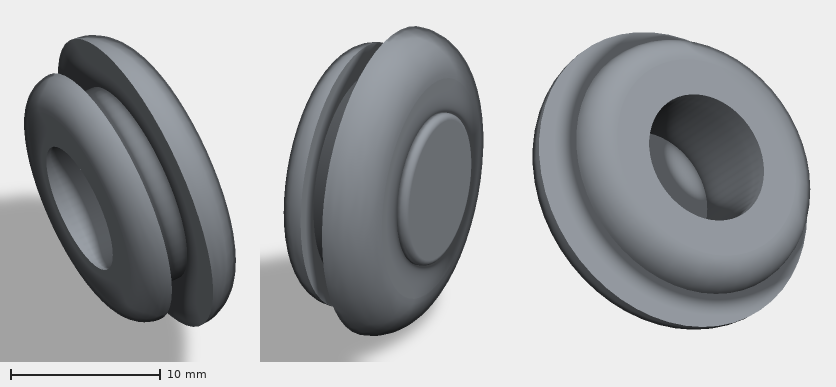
import cadquery as cq


rim_radius = 21.0 / 2
neck_radius = 7.0
bore_radius = 4.5
membrane_thickness = 0.7
cap_radius = bore_radius + membrane_thickness

front_flange_length = 2.0
groove_width = 2.3
rim_length = 3.0
cap_height = membrane_thickness

front_flange_radius = neck_radius + front_flange_length
cap_fillet = 0.4

groove_start = front_flange_length
groove_end = groove_start + groove_width
rim_end = groove_end + rim_length
total_length = rim_end + cap_height
bore_depth = total_length - membrane_thickness


def disc(radius, start, length):
    """Solid disc about the Y axis, running from start toward +Y."""
    return cq.Workplane("XZ", origin=(0, start, 0)).circle(radius).extrude(-length)


def rounded_flange(radius, flat_y, face_y):
    """Revolved flange, flat at flat_y and rounded by a quarter circle up to face_y."""
    thickness = abs(face_y - flat_y)
    face_radius = radius - thickness
    diagonal = thickness * 0.5**0.5
    direction = 1 if face_y > flat_y else -1
    arc_middle = (face_radius + diagonal, flat_y + direction * diagonal)
    return (
        cq.Workplane("XY")
        .moveTo(0, flat_y)
        .lineTo(radius, flat_y)
        .threePointArc(arc_middle, (face_radius, face_y))
        .lineTo(0, face_y)
        .close()
        .revolve(360, (0, 0, 0), (0, 1, 0))
    )


front_flange = rounded_flange(front_flange_radius, groove_start, 0)
rim = rounded_flange(rim_radius, groove_end, rim_end)
neck = disc(neck_radius, groove_start, groove_width)
cap = disc(cap_radius, rim_end, cap_height).faces(">Y").edges().fillet(cap_fillet)
bore = disc(bore_radius, 0, bore_depth)

result = front_flange.union(neck).union(rim).union(cap).cut(bore)